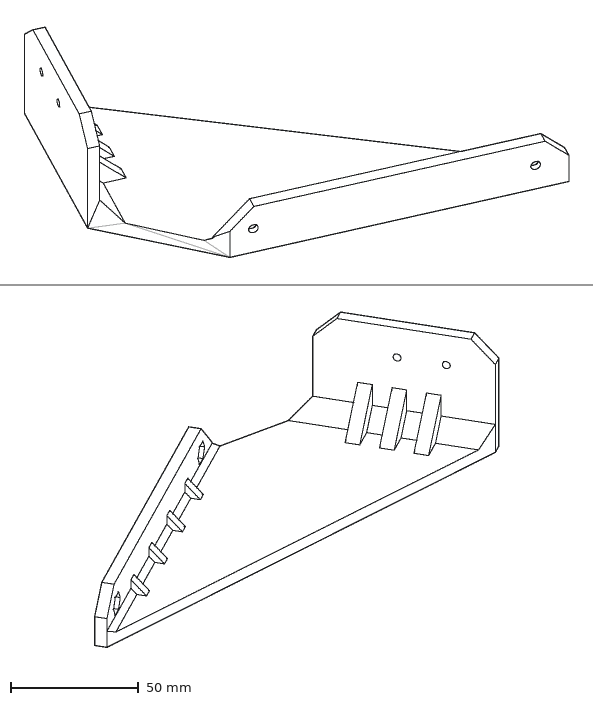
import cadquery as cq
import math

width = 110.0
length = 187.5
height = 50.5
wall = 5.0
corner_chamfer = 10.0

front_width = 74.6
front_hole_diameter = 3.2
front_hole_xs = (20.0, 40.1)
front_hole_z = 36.8

side_height = 23.2
side_inner_x = width - wall
side_start_y = 46.7
side_hole_diameter = 4.0
side_hole_ys = (56.5, 173.6)
side_hole_z = 12.0
nut_across_flats = 8.0
nut_depth = 2.5

front_wedge_leg = 7.9
side_wedge_leg = 2.5
front_rib_leg = 17.5
front_rib_width = 6.0
front_rib_first_x = 25.1
front_rib_pitch = 14.0
front_rib_count = 3
side_rib_leg = 6.4
side_rib_width = 4.1
side_rib_first_y = 77.2
side_rib_pitch = 25.0
side_rib_count = 4

front_wedge_overhang = 7.7
side_wedge_overhang = 8.0
front_wedge_end = (front_width + front_wedge_overhang, wall + front_wedge_leg)
side_wedge_end = (side_inner_x - side_wedge_leg, side_start_y - side_wedge_overhang)


def front_bracket(leg, x_start, x_length):
    """45 degree wedge between the front plate and the base, its root sunk into the base."""
    return (
        cq.Workplane("YZ", origin=(x_start, 0, 0))
        .polyline([(wall, 0), (wall + leg + wall, 0), (wall, wall + leg)])
        .close()
        .extrude(x_length)
    )


def side_bracket(leg, y_start, y_length):
    """45 degree wedge between the side plate and the base, its root sunk into the base."""
    return (
        cq.Workplane("XZ", origin=(0, y_start, 0))
        .polyline([(side_inner_x, 0), (side_inner_x - leg - wall, 0), (side_inner_x, wall + leg)])
        .close()
        .extrude(-y_length)
    )


def tetrahedron(corners):
    """Solid with four triangular faces, one opposite each corner."""
    faces = []
    for skipped in range(4):
        triangle = [cq.Vector(*corner) for i, corner in enumerate(corners) if i != skipped]
        faces.append(cq.Face.makeFromWires(cq.Wire.makePolygon(triangle, close=True)))
    return cq.Workplane(cq.Solid.makeSolid(cq.Shell.makeShell(faces)))


def make_front_plate():
    """Upright plate with two chamfered top corners and two screw holes."""
    plate = cq.Workplane("XY").box(front_width, wall, height, centered=False)
    plate = plate.edges("|Y and >Z").chamfer(corner_chamfer)
    holes = (
        cq.Workplane("XZ")
        .pushPoints([(x, front_hole_z) for x in front_hole_xs])
        .circle(front_hole_diameter / 2)
        .extrude(-wall)
    )
    return plate.cut(holes)


def make_side_plate():
    """Low upright plate with a 45 degree slope at its near end."""
    slope_top_y = side_start_y + corner_chamfer
    outline = [
        (slope_top_y - side_height, 0),
        (slope_top_y, side_height),
        (length - corner_chamfer, side_height),
        (length, side_height - corner_chamfer),
        (length, 0),
    ]
    return cq.Workplane("YZ", origin=(side_inner_x, 0, 0)).polyline(outline).close().extrude(wall)


def make_side_plate_cuts():
    """Screw holes with hexagonal nut pockets on the inner face."""
    centers = [(y, side_hole_z) for y in side_hole_ys]
    face = cq.Workplane("YZ", origin=(side_inner_x, 0, 0)).pushPoints(centers)
    nut_across_corners = nut_across_flats / math.cos(math.radians(30))
    holes = face.circle(side_hole_diameter / 2).extrude(wall)
    pockets = face.polygon(6, nut_across_corners).extrude(nut_depth)
    return holes.union(pockets)


def make_footprint():
    """Plan outline of the whole part, with the long and the short slanted sides."""
    outline = [
        (0, 0),
        (front_width, 0),
        (front_width, wall),
        front_wedge_end,
        side_wedge_end,
        (width, side_start_y),
        (width, length),
        (side_inner_x, length),
        (0, wall),
    ]
    return cq.Workplane("XY").polyline(outline).close()


def make_toe():
    """Facets that flare the short slanted side outward toward the bottom."""
    plate_root = (front_width, wall, 0)
    plate_toe = (front_width, 0, 0)
    side_foot = (width, side_start_y, 0)
    wedge_top = (front_width, wall, wall + front_wedge_leg)
    front_end = (*front_wedge_end, wall)
    side_end = (*side_wedge_end, wall)
    side_end_foot = (*side_wedge_end, 0)
    toe = tetrahedron([plate_root, plate_toe, wedge_top, front_end])
    toe = toe.union(tetrahedron([plate_root, plate_toe, side_end_foot, front_end]))
    toe = toe.union(tetrahedron([plate_toe, side_foot, side_end_foot, front_end]))
    return toe.union(tetrahedron([side_foot, side_end_foot, side_end, front_end]))


body = make_footprint().extrude(wall)
body = body.union(make_front_plate()).union(make_side_plate())
body = body.union(front_bracket(front_wedge_leg, 0, width))
body = body.union(side_bracket(side_wedge_leg, 0, length))

for i in range(front_rib_count):
    rib_x = front_rib_first_x + i * front_rib_pitch
    body = body.union(front_bracket(front_rib_leg, rib_x - front_rib_width / 2, front_rib_width))
for i in range(side_rib_count):
    rib_y = side_rib_first_y + i * side_rib_pitch
    body = body.union(side_bracket(side_rib_leg, rib_y - side_rib_width / 2, side_rib_width))

body = body.intersect(make_footprint().extrude(height))

result = body.union(make_toe()).cut(make_side_plate_cuts()).solids()